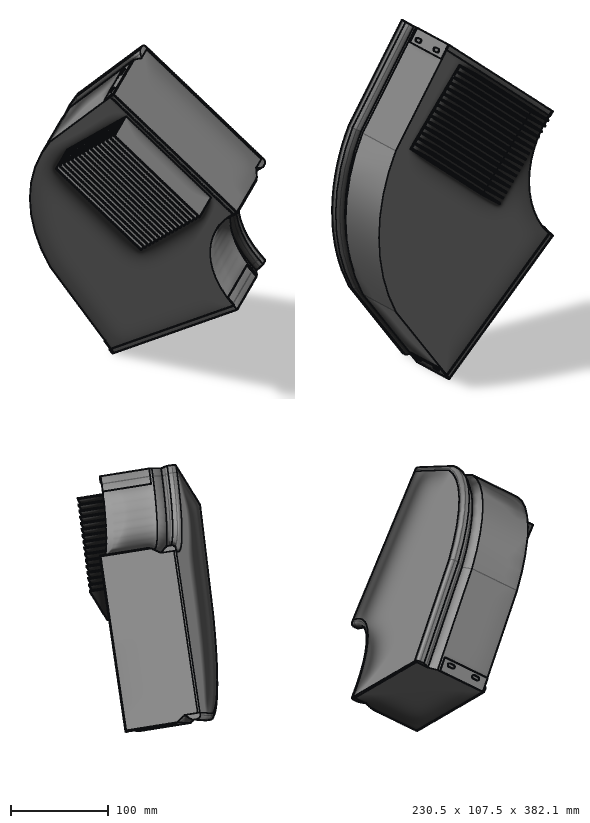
import cadquery as cq
import math

INNER_RADIUS = 100.0
DUCT_WIDTH = 200.0
OUTER_RADIUS = DUCT_WIDTH
OUTER_ARC_ANGLE = 27.4
END_ANGLE = 41.0
END_OFFSET = 8.0
OUTER_CORNER = 281.0
OVERRUN = 23.0

COVER_THICKNESS = 2.3
NECK_DEPTH = 15.5
SHOULDER_DEPTH = 24.5
HOUSING_DEPTH = 77.5
NECK_INSET = 6.0

BEAD_BACK_RADIUS = 4.0
BEAD_CREST_DEPTH = 8.5
BEAD_CREASE_DEPTH = 12.0
BEAD_CREASE_INSET = 2.3
BEAD_WALL = 2.0

SHEET = 1.0
FLANGE_START_DEPTH = 27.0
FLANGE_LENGTH = 16.5
LIP_LENGTH = 5.7
SLOT_DIAMETER = 4.2
SLOT_LENGTH = 8.0
SLOT_DEPTHS = (36.7, 65.5)
SLOT_SETBACK = 10.7

SINK_WIDTH = 125.0
SINK_LENGTH = 99.8
SINK_SETBACK = 11.5
SINK_BASE = 2.0
SINK_TIP_DEPTH = 107.5
FIN_COUNT = 16
FIN_THICKNESS = 1.5

LARGE = 2 * OUTER_CORNER

SIN_END = math.sin(math.radians(END_ANGLE))
COS_END = math.cos(math.radians(END_ANGLE))


def end_point(along, outward):
    """Plan point given along the upper end plane and outward from the bend centre line."""
    return (-along * COS_END + outward * SIN_END, along * SIN_END + outward * COS_END)


def mirrored(point):
    return (point[0], -point[1])


def prism(points, depth_from, depth_to):
    """Plan polygon extruded between two depths."""
    return cq.Workplane("XZ", origin=(0, -depth_from, 0)).polyline(points).close().extrude(depth_to - depth_from)


def end_box(along_from, along_to, out_from, out_to, depth_from, depth_to):
    """Box square to the upper end plane."""
    corners = [
        end_point(along_from, out_from),
        end_point(along_to, out_from),
        end_point(along_to, out_to),
        end_point(along_from, out_to),
    ]
    return prism(corners, depth_from, depth_to)


outer_angle = math.radians(OUTER_ARC_ANGLE)
arc_end = (
    -INNER_RADIUS - OUTER_RADIUS * math.cos(outer_angle),
    OUTER_RADIUS * math.sin(outer_angle),
)
outer_corner = end_point(OUTER_CORNER, END_OFFSET)
wall_length = math.dist(arc_end, outer_corner)
wall_direction = (
    (outer_corner[0] - arc_end[0]) / wall_length,
    (outer_corner[1] - arc_end[1]) / wall_length,
)
outer_tail = tuple(c + OVERRUN * d for c, d in zip(outer_corner, wall_direction))
inner_tail = end_point(INNER_RADIUS, END_OFFSET + OVERRUN)
inner_arc_end = end_point(INNER_RADIUS, 0)


def duct_plan(growth, depth):
    """Bent outline running past both ends, grown or shrunk sideways, at one depth."""
    plan = (
        cq.Workplane("XZ", origin=(0, -depth, 0))
        .moveTo(*arc_end)
        .lineTo(*outer_tail)
        .lineTo(*inner_tail)
        .lineTo(*inner_arc_end)
        .threePointArc((-INNER_RADIUS, 0), mirrored(inner_arc_end))
        .lineTo(*mirrored(inner_tail))
        .lineTo(*mirrored(outer_tail))
        .lineTo(*mirrored(arc_end))
        .threePointArc((-INNER_RADIUS - OUTER_RADIUS, 0), arc_end)
        .close()
    )
    if growth:
        plan = plan.offset2D(growth, "intersection")
    return plan


def duct(growth, depth_from, depth_to):
    """Straight-sided length of the bent outline between two depths."""
    return duct_plan(growth, depth_from).extrude(depth_to - depth_from)


def duct_slope(growth_from, depth_from, growth_to, depth_to):
    """Sloping length of the bent outline between two depths."""
    wires = [duct_plan(growth_from, depth_from).val(), duct_plan(growth_to, depth_to).val()]
    return cq.Workplane(cq.Solid.makeLoft(wires, True))


def between_ends():
    """Everything between the two end planes."""
    tip = end_point(LARGE, END_OFFSET)
    return prism([(END_OFFSET / SIN_END, 0), tip, (-LARGE, tip[1]), (-LARGE, -tip[1]), mirrored(tip)], 0, LARGE)


profile = (
    duct(0, SHOULDER_DEPTH, HOUSING_DEPTH)
    .union(duct_slope(-NECK_INSET, NECK_DEPTH, 0, SHOULDER_DEPTH))
    .union(duct(-NECK_INSET, COVER_THICKNESS, NECK_DEPTH))
)
housing = profile.intersect(between_ends())

back_cover = duct(-NECK_INSET, 0, COVER_THICKNESS).intersect(between_ends())


def bead(path_start, arc_start, arc_middle):
    """Hollow bead strip along one side of the neck, on a line-arc-line path symmetric about Z = 0."""
    path = (
        cq.Workplane("XZ")
        .moveTo(*path_start)
        .lineTo(*arc_start)
        .threePointArc(arc_middle, mirrored(arc_start))
        .lineTo(*mirrored(path_start))
    )
    run_length = math.dist(path_start, arc_start)
    run_x, run_z = [(end - start) / run_length for start, end in zip(path_start, arc_start)]
    section = cq.Plane(
        origin=(path_start[0], 0, path_start[1]),
        xDir=(run_z, 0, -run_x),
        normal=(run_x, 0, run_z),
    )
    round_middle = BEAD_BACK_RADIUS * (1 - math.sqrt(0.5))
    outside = (
        cq.Workplane(section)
        .moveTo(NECK_INSET, 0)
        .lineTo(BEAD_BACK_RADIUS, 0)
        .threePointArc((round_middle, -round_middle), (0, -BEAD_BACK_RADIUS))
        .lineTo(0, -BEAD_CREST_DEPTH)
        .lineTo(BEAD_CREASE_INSET, -BEAD_CREASE_DEPTH)
        .lineTo(NECK_INSET, -NECK_DEPTH)
        .close()
        .sweep(path, transition="right")
    )
    hollow = (
        cq.Workplane(section)
        .moveTo(BEAD_WALL, -BEAD_WALL)
        .lineTo(NECK_INSET - BEAD_WALL, -BEAD_WALL)
        .lineTo(NECK_INSET - BEAD_WALL, BEAD_WALL - BEAD_CREASE_DEPTH)
        .lineTo(BEAD_WALL, BEAD_WALL - BEAD_CREASE_DEPTH)
        .close()
        .sweep(path, transition="right")
    )
    return outside.cut(hollow).intersect(between_ends())


outer_bead = bead(mirrored(outer_tail), mirrored(arc_end), (-INNER_RADIUS - OUTER_RADIUS, 0))
inner_bead = bead(inner_tail, inner_arc_end, (-INNER_RADIUS, 0))


def slot(depth):
    """Slot cutter through the outer flange, long in Y and square to the outer wall."""
    centre = [c - SLOT_SETBACK * d for c, d in zip(outer_corner, wall_direction)]
    wall_plane = cq.Plane(
        origin=(centre[0], -depth, centre[1]),
        xDir=(0, 1, 0),
        normal=(-wall_direction[1], 0, wall_direction[0]),
    )
    return cq.Workplane(wall_plane).slot2D(SLOT_LENGTH, SLOT_DIAMETER).extrude(SLOT_DIAMETER)


def upper_end_cap():
    """Channel with a lip over the housing front and a flange down each side, the outer one slotted."""
    lip = end_box(
        INNER_RADIUS - SHEET, OUTER_CORNER + SHEET, END_OFFSET - LIP_LENGTH, END_OFFSET,
        HOUSING_DEPTH, HOUSING_DEPTH + SHEET,
    )
    flanges = (
        duct(SHEET, FLANGE_START_DEPTH, HOUSING_DEPTH)
        .intersect(end_box(0, LARGE, END_OFFSET - FLANGE_LENGTH, END_OFFSET, 0, LARGE))
        .cut(duct(0, FLANGE_START_DEPTH, HOUSING_DEPTH))
    )
    cap = lip.union(flanges)
    for depth in SLOT_DEPTHS:
        cap = cap.cut(slot(depth))
    return cap


upper_cap = upper_end_cap()
lower_cap = upper_cap.mirror("XY")


def heat_sink():
    """Base plate on the housing front with fins parallel to the upper end."""
    centre = INNER_RADIUS + (OUTER_CORNER - INNER_RADIUS) / 2
    along = (centre - SINK_WIDTH / 2, centre + SINK_WIDTH / 2)
    top = END_OFFSET - SINK_SETBACK
    base_depth = HOUSING_DEPTH + SINK_BASE
    sink = end_box(*along, top - SINK_LENGTH, top, HOUSING_DEPTH, base_depth)
    pitch = (SINK_LENGTH - FIN_THICKNESS) / (FIN_COUNT - 1)
    for index in range(FIN_COUNT):
        fin_top = top - index * pitch
        sink = sink.union(end_box(*along, fin_top - FIN_THICKNESS, fin_top, base_depth, SINK_TIP_DEPTH))
    return sink


sink = heat_sink()

result = cq.Compound.makeCompound(
    [
        housing.val(),
        back_cover.val(),
        outer_bead.val(),
        inner_bead.val(),
        upper_cap.val(),
        lower_cap.val(),
        sink.val(),
    ]
)